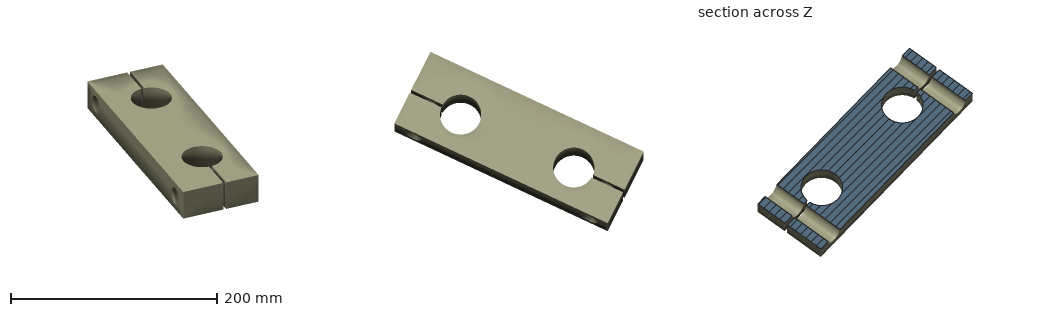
import cadquery as cq

LENGTH = 230.0
WIDTH = 80.0
HEIGHT = 30.0

BORE_DIAMETER = 40.0
BORE_SPACING = 122.0
BORE_OFFSET_Y = 4.0

SLOT_WIDTH = 3.0

BOLT_HOLE_DIAMETER = 17.5
BOLT_HOLE_SPACING = 190.0


def make_block():
    return cq.Workplane("XY").box(LENGTH, WIDTH, HEIGHT)


def make_bore(side):
    """Vertical through bore; side is -1 for the -X end, +1 for the +X end."""
    return (
        cq.Workplane("XY")
        .center(side * BORE_SPACING / 2, BORE_OFFSET_Y)
        .circle(BORE_DIAMETER / 2)
        .extrude(HEIGHT / 2, both=True)
    )


def make_slot(side):
    """Full-height slot from the bore axis to the end face."""
    slot_length = (LENGTH - BORE_SPACING) / 2
    slot_center_x = side * (LENGTH + BORE_SPACING) / 4
    return (
        cq.Workplane("XY")
        .box(slot_length, SLOT_WIDTH, HEIGHT)
        .translate((slot_center_x, BORE_OFFSET_Y, 0))
    )


def make_bolt_hole(side):
    """Bolt hole through the full width, at mid height."""
    return (
        cq.Workplane("XZ")
        .center(side * BOLT_HOLE_SPACING / 2, 0)
        .circle(BOLT_HOLE_DIAMETER / 2)
        .extrude(WIDTH / 2, both=True)
    )


result = make_block()
for end in (-1, 1):
    result = result.cut(make_bore(end))
    result = result.cut(make_slot(end))
    result = result.cut(make_bolt_hole(end))